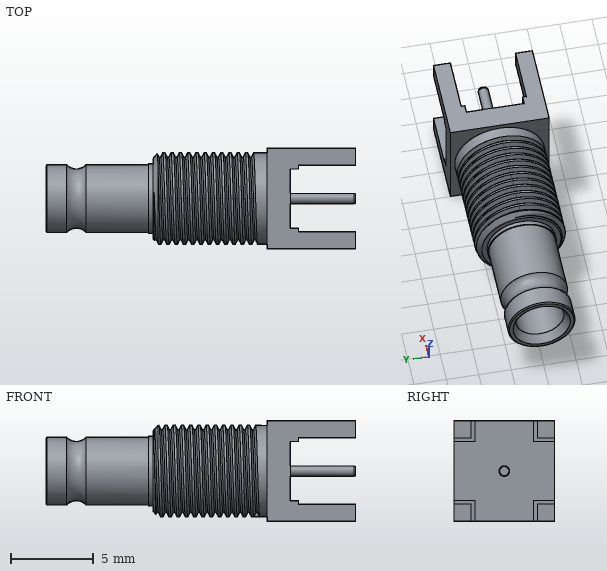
import cadquery as cq

groove_start = 1.25
groove_end = 2.44
collar_start = 6.22
barrel_start = 6.49
block_start = 13.39
fork_floor = 14.8
leg_step = 15.3
total_length = 18.75

tube_radius = 2.06
groove_root_radius = 1.8
collar_radius = 2.12
rim_chamfer = 0.08

barrel_radius = 2.78
barrel_tip_radius = 2.44
barrel_tip_length = 0.3
thread_pitch = 1.5 / 3
thread_root_radius = 2.51
thread_crest_gap = 0.35
thread_root_width = 0.1
thread_end = 12.77
thread_half_turns = 26
cut_overlap = 0.08

block_width = 6.1
leg_gap = 4.01
leg_foot_gap = 3.56

pin_radius = 0.32
pin_chamfer_length = 0.11
pin_chamfer_width = 0.04

socket_radius = 1.48
socket_mouth_radius = 1.76
socket_mouth_depth = 0.56
socket_floor = collar_start
insulator_radius = 1.16
insulator_height = 0.75
contact_radius = 0.43
contact_height = 0.19
contact_hole_radius = 0.28
contact_hole_depth = 1.12
contact_cone_depth = 0.28


def axial_cylinder(radius, start, end):
    """Cylinder on the X axis between two stations."""
    return cq.Workplane("YZ", origin=(start, 0, 0)).circle(radius).extrude(end - start)


def make_body():
    """Tube, collar and unthreaded barrel as one revolved outline."""
    groove_middle = (groove_start + groove_end) / 2
    outline = (
        cq.Workplane("XY")
        .moveTo(0, 0)
        .lineTo(0, tube_radius - rim_chamfer)
        .lineTo(rim_chamfer, tube_radius)
        .lineTo(groove_start, tube_radius)
        .threePointArc((groove_middle, groove_root_radius), (groove_end, tube_radius))
        .lineTo(collar_start, tube_radius)
        .lineTo(collar_start, collar_radius)
        .lineTo(barrel_start, collar_radius)
        .lineTo(barrel_start, barrel_tip_radius)
        .lineTo(barrel_start + barrel_tip_length, barrel_radius)
        .lineTo(block_start, barrel_radius)
        .lineTo(block_start, 0)
        .close()
    )
    return outline.revolve(360, (0, 0, 0), (1, 0, 0))


def make_thread_segment():
    """Half a turn of the right-handed V groove, coiling up the Z axis from +X to -X."""
    flank_slope = (thread_crest_gap - thread_root_width) / (barrel_radius - thread_root_radius)
    top_radius = barrel_radius + cut_overlap
    half_root = thread_root_width / 2
    half_top = (thread_crest_gap + flank_slope * cut_overlap) / 2
    helix = cq.Wire.makeHelix(thread_pitch, thread_pitch / 2, thread_root_radius)
    return (
        cq.Workplane("XZ")
        .polyline([
            (thread_root_radius, -half_root),
            (top_radius, -half_top),
            (top_radius, half_top),
            (thread_root_radius, half_root),
        ])
        .close()
        .sweep(cq.Workplane(obj=helix), isFrenet=True)
    )


def cut_thread(body):
    """Cut the groove half a turn at a time, from the block end out past the barrel tip."""
    segment = make_thread_segment().val()
    for step in range(thread_half_turns):
        station = thread_end - (step + 1) * thread_pitch / 2
        side = -1 if step % 2 else 1
        seat = cq.Plane(origin=(station, 0, 0), xDir=(0, 0, side), normal=(1, 0, 0))
        body = body.cut(cq.Workplane(obj=segment.moved(cq.Location(seat))))
    return body


def cross_cutter(gap, start, end):
    """Two crossing slots of equal width that leave only the four corners."""
    length = end - start
    middle = (start + end) / 2
    slot_y = cq.Workplane("XY").box(length, block_width, gap)
    slot_z = cq.Workplane("XY").box(length, gap, block_width)
    return slot_y.union(slot_z).translate((middle, 0, 0))


def make_block():
    """Square block whose corners run on as stepped legs."""
    block = (
        cq.Workplane("YZ", origin=(block_start, 0, 0))
        .rect(block_width, block_width)
        .extrude(total_length - block_start)
    )
    block = block.cut(cross_cutter(leg_foot_gap, fork_floor, total_length))
    return block.cut(cross_cutter(leg_gap, leg_step, total_length))


def make_pin():
    """Solder pin between the legs, with a chamfered tip."""
    pin = axial_cylinder(pin_radius, block_start, total_length)
    return pin.faces(">X").chamfer(pin_chamfer_length, pin_chamfer_width)


def make_socket_cutter():
    """Bore with a conical mouth, around a stepped insulator and contact."""
    insulator_face = socket_floor - insulator_height
    contact_face = insulator_face - contact_height
    hole_end = contact_face + contact_hole_depth
    outline = (
        cq.Workplane("XY")
        .moveTo(0, 0)
        .lineTo(0, socket_mouth_radius)
        .lineTo(socket_mouth_depth, socket_radius)
        .lineTo(socket_floor, socket_radius)
        .lineTo(socket_floor, insulator_radius)
        .lineTo(insulator_face, insulator_radius)
        .lineTo(insulator_face, contact_radius)
        .lineTo(contact_face, contact_radius)
        .lineTo(contact_face, contact_hole_radius)
        .lineTo(hole_end, contact_hole_radius)
        .lineTo(hole_end + contact_cone_depth, 0)
        .close()
    )
    return outline.revolve(360, (0, 0, 0), (1, 0, 0))


threaded_body = cut_thread(make_body())
connector = threaded_body.union(make_block()).union(make_pin()).cut(make_socket_cutter())
result = cq.Workplane(obj=connector.solids().val())